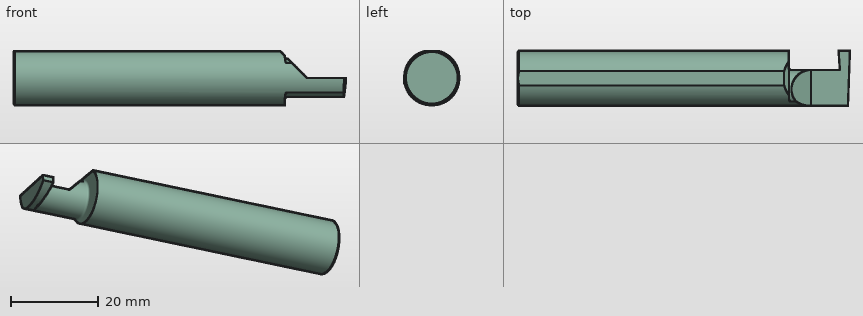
import cadquery as cq
import math

total_length = 76.2
shank_radius = 6.3
shank_length = 62.2
flat_height = 6.1
end_chamfer = 0.4

neck_radius = 4.4
neck_center_y = -2.5
root_fillet = 0.45
neck_far_y = neck_center_y + neck_radius

ramp_end_x = 67.2

head_lean = 0.45
end_relief_angle = 3
tip_y = shank_radius
tip_width = 2.7
tip_height = 1.3
hook_lean = 0.3


def cylinder(radius, length):
    return cq.Workplane("YZ").circle(radius).extrude(length)


def make_shank():
    shank = cylinder(shank_radius, shank_length).faces("<X").chamfer(end_chamfer)
    above_flat = (
        cq.Workplane("XY", origin=(0, 0, flat_height))
        .rect(2 * total_length, 2 * shank_radius)
        .extrude(shank_radius)
    )
    return shank.cut(above_flat)


def make_neck():
    """Round neck flaring into the shank face through a concave fillet."""
    flare_radius = neck_radius + root_fillet
    arc_offset = root_fillet * (1 - math.sqrt(0.5))
    neck = (
        cq.Workplane("XY", origin=(0, neck_center_y, 0))
        .moveTo(shank_length, 0)
        .lineTo(shank_length, flare_radius)
        .threePointArc(
            (shank_length + arc_offset, neck_radius + arc_offset),
            (shank_length + root_fillet, neck_radius),
        )
        .lineTo(total_length, neck_radius)
        .lineTo(total_length, 0)
        .close()
        .revolve(360, (0, 0, 0), (1, 0, 0))
    )
    return neck.intersect(cylinder(shank_radius, total_length))


def make_hook():
    """Sideways cutting tooth with a curved clearance below its tip."""
    rise = neck_radius - tip_height
    reach = tip_y - neck_center_y
    clearance_radius = (reach**2 + rise**2) / (2 * rise)
    half_angle = math.asin(reach / clearance_radius) / 2
    arc_middle = (
        neck_center_y + clearance_radius * math.sin(half_angle),
        -neck_radius + clearance_radius * (1 - math.cos(half_angle)),
    )
    section = (
        cq.Workplane("YZ")
        .moveTo(neck_center_y, 0)
        .lineTo(tip_y, 0)
        .lineTo(tip_y, -tip_height)
        .threePointArc(arc_middle, (neck_center_y, -neck_radius))
        .close()
        .extrude(total_length)
    )
    root_x = total_length - tip_width + hook_lean
    outline = (
        cq.Workplane("XY", origin=(0, 0, -shank_radius))
        .moveTo(total_length, tip_y)
        .lineTo(total_length - tip_width, tip_y)
        .lineTo(root_x, neck_far_y)
        .lineTo(root_x, neck_center_y)
        .lineTo(total_length, neck_center_y)
        .close()
        .extrude(2 * shank_radius)
    )
    return section.intersect(outline)


def ramp_cutter():
    """Everything above the ramp and the cutting plane."""
    return (
        cq.Workplane("XZ")
        .moveTo(ramp_end_x, 0)
        .lineTo(ramp_end_x - 2 * flat_height, 2 * flat_height)
        .lineTo(2 * total_length, 2 * flat_height)
        .lineTo(2 * total_length, 0)
        .close()
        .extrude(shank_radius * 2, both=True)
    )


def end_face_cutter():
    """Wedge that leans the end face back from the tip, both sideways and downward."""
    wedge = (
        cq.Workplane("XY", origin=(0, 0, -shank_radius))
        .moveTo(total_length, tip_y)
        .lineTo(total_length - head_lean, -tip_y)
        .lineTo(2 * total_length, -tip_y)
        .lineTo(2 * total_length, tip_y)
        .close()
        .extrude(shank_radius)
    )
    return wedge.rotate((total_length, 0, 0), (total_length, 1, 0), end_relief_angle)


result = make_shank().union(make_neck()).union(make_hook())
result = result.cut(ramp_cutter()).cut(end_face_cutter())